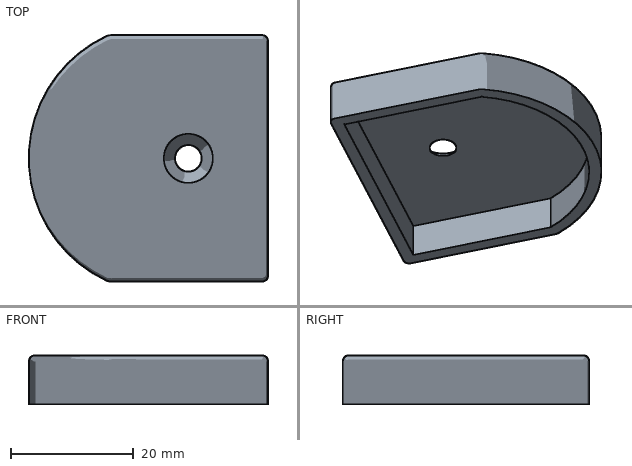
import cadquery as cq
import math

length = 39.02
width = 40.2
height = 8.0

bulge_radius = 22.0
edge_radius = 1.0
bulge_corner_radius = 2.0

wall = 2.0
top_thickness = 2.0

hole_diameter = 4.3
countersink_diameter = 8.0
hole_to_straight_end = 13.0

right_x = hole_to_straight_end
bulge_tip_x = right_x - length
bulge_center_x = bulge_tip_x + bulge_radius


def plan_outline(inset):
    """Plan profile moved inward by `inset`: three straight sides and a bulged end."""
    half_width = width / 2 - inset
    radius = bulge_radius - inset
    corner_x = bulge_center_x - math.sqrt(radius**2 - half_width**2)
    end_x = right_x - inset
    return (
        cq.Workplane("XY")
        .moveTo(corner_x, -half_width)
        .lineTo(end_x, -half_width)
        .lineTo(end_x, half_width)
        .lineTo(corner_x, half_width)
        .threePointArc((bulge_center_x - radius, 0), (corner_x, -half_width))
        .close()
    )


def rounded_body():
    """Solid block with rounded upright corners and a rounded top rim."""
    body = plan_outline(0).extrude(height)
    body = body.edges("|Z").edges(">X").fillet(edge_radius)
    body = body.edges("|Z").edges("<X").fillet(bulge_corner_radius)
    return body.faces(">Z").edges().fillet(edge_radius)


def underside_cavity():
    """Pocket open at the bottom, leaving even walls and a flat top plate."""
    return plan_outline(wall).extrude(height - top_thickness)


def countersunk_hole():
    """Cone narrowing from the top face to the underside of the top plate."""
    cone = cq.Solid.makeCone(
        hole_diameter / 2,
        countersink_diameter / 2,
        top_thickness,
        pnt=cq.Vector(0, 0, height - top_thickness),
    )
    return cq.Workplane(cone)


result = rounded_body().cut(underside_cavity()).cut(countersunk_hole())